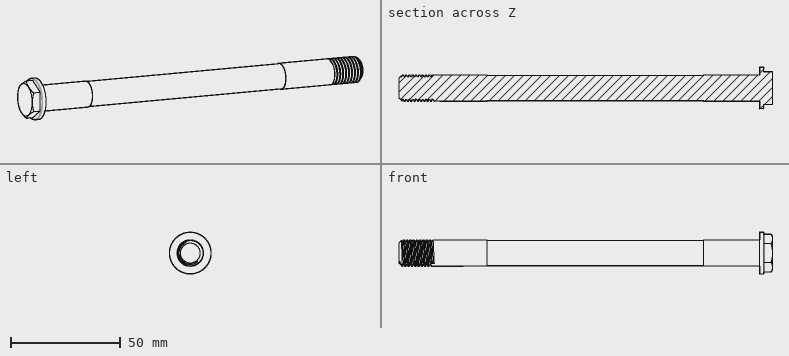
import cadquery as cq
import math

total_length = 170.0
shank_diameter = 12.0
neck_diameter = 11.6
flange_diameter = 19.05
hex_across_flats = 15.0
hex_sides = 6

head_height = 6.0
flange_thickness = 2.0
flange_edge_fillet = 0.3
hex_top_diameter = 14.8
hex_chamfer_angle = 30.0

tip_x = head_height - total_length
tip_diameter = 9.0
tip_chamfer_length = 1.5
tip_to_neck_length = 40.0
flange_to_neck_length = 25.5
neck_start_x = tip_x + tip_to_neck_length
neck_end_x = -flange_to_neck_length

thread_pitch = 1.5
thread_length = 15.6
thread_depth = 0.92
thread_overshoot = 0.2
thread_mouth_width = 1.3


def make_shank():
    """Turned shank with a chamfered tip and a slightly reduced middle."""
    shank_radius = shank_diameter / 2
    neck_radius = neck_diameter / 2
    return (
        cq.Workplane("XZ")
        .moveTo(tip_x, 0)
        .lineTo(tip_x, tip_diameter / 2)
        .lineTo(tip_x + tip_chamfer_length, shank_radius)
        .lineTo(neck_start_x, shank_radius)
        .lineTo(neck_start_x, neck_radius)
        .lineTo(neck_end_x, neck_radius)
        .lineTo(neck_end_x, shank_radius)
        .lineTo(flange_thickness, shank_radius)
        .lineTo(flange_thickness, 0)
        .close()
        .revolve(360, (0, 0, 0), (1, 0, 0))
    )


def make_thread_groove():
    """Helical V groove, from one pitch outside the tip to the end of the thread."""
    shank_radius = shank_diameter / 2
    root_radius = shank_radius - thread_depth
    mouth_radius = shank_radius + thread_overshoot
    start_x = tip_x - thread_pitch
    helix = cq.Wire.makeHelix(
        thread_pitch,
        thread_length + thread_pitch,
        root_radius,
        center=cq.Vector(start_x, 0, 0),
        dir=cq.Vector(1, 0, 0),
    )
    start = helix.startPoint()
    radial = cq.Vector(0, start.y, start.z).normalized()
    profile_plane = cq.Plane(
        origin=(start_x, 0, 0),
        xDir=(1, 0, 0),
        normal=cq.Vector(1, 0, 0).cross(radial).toTuple(),
    )
    return (
        cq.Workplane(profile_plane)
        .moveTo(0, root_radius)
        .lineTo(thread_mouth_width / 2, mouth_radius)
        .lineTo(-thread_mouth_width / 2, mouth_radius)
        .close()
        .sweep(cq.Workplane(helix), isFrenet=True)
    )


def make_flange():
    """Round flange with a rounded edge on the hexagon side."""
    return (
        cq.Workplane("YZ")
        .circle(flange_diameter / 2)
        .extrude(flange_thickness)
        .faces(">X")
        .edges()
        .fillet(flange_edge_fillet)
    )


def make_hexagon():
    """Hexagon with two corners on the Z axis and a conical chamfer on its outer end."""
    across_corners = hex_across_flats / math.cos(math.pi / hex_sides)
    corner_radius = across_corners / 2
    top_radius = hex_top_diameter / 2
    chamfer_length = (corner_radius - top_radius) * math.tan(math.radians(hex_chamfer_angle))
    hexagon = (
        cq.Workplane("YZ")
        .polygon(hex_sides, across_corners)
        .extrude(head_height)
        .rotate((0, 0, 0), (1, 0, 0), 90)
    )
    envelope = (
        cq.Workplane("XY")
        .lineTo(0, corner_radius)
        .lineTo(head_height - chamfer_length, corner_radius)
        .lineTo(head_height, top_radius)
        .lineTo(head_height, 0)
        .close()
        .revolve(360, (0, 0, 0), (1, 0, 0))
    )
    return hexagon.intersect(envelope)


threaded_shank = make_shank().cut(make_thread_groove())
result = threaded_shank.union(make_flange()).union(make_hexagon())